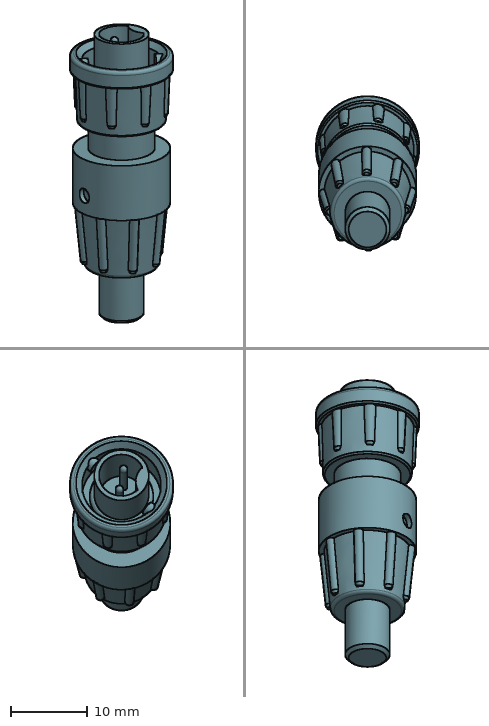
import cadquery as cq

TOTAL_HEIGHT = 39.65
COLLAR_TOP = 37.0
COLLAR_BOTTOM = 34.5
NUT_BOTTOM = 27.45
BARREL_TOP = 23.65
BARREL_BOTTOM = 15.95
GRIP_BOTTOM = 7.15

COLLAR_DIAMETER = 13.52
COLLAR_RADIUS = COLLAR_DIAMETER / 2
NUT_TOP_RADIUS = 6.05
NUT_BOTTOM_RADIUS = 5.83
NECK_RADIUS = 4.35
BARREL_RADIUS = 6.4
GRIP_TOP_RADIUS = 5.67
GRIP_BOTTOM_RADIUS = 4.85
CABLE_RADIUS = 2.95

COLLAR_FILLET = 0.48
NUT_CHAMFER = 0.25
GRIP_FILLET = 0.48
CABLE_CHAMFER = 0.48

SOCKET_RADIUS = 5.15
SOCKET_FLOOR = 32.28
SOCKET_LEAD_IN = 0.8

LUG_RADIUS = 0.95
LUG_TOP = 36.48
LUG_INNER_REACH = 4.5
LUG_ANGLES = (60, 240)

TUBE_RADIUS = 3.55
TUBE_BORE_RADIUS = 2.95
SHOULDER_RADIUS = 4.15
SHOULDER_STEP = 0.2
KEY_RADIUS = 2.75
KEY_REACH = 1.95
PIN_RADIUS = 0.5
PIN_SPACING = 2.9
PIN_TIP = 38.78

RIB_COUNT = 8
RIB_END_CHAMFER_LENGTH = 0.45
RIB_END_CHAMFER_DEPTH = 0.2
NUT_RIB_BOTTOM = 28.63
NUT_RIB_ANGLE = -7.5
NUT_RIB_TOP_CREST = 6.45
NUT_RIB_BOTTOM_CREST = 6.23
NUT_RIB_TOP_RADIUS = 0.9
NUT_RIB_BOTTOM_RADIUS = 0.65
GRIP_RIB_BOTTOM = 8.0
GRIP_RIB_ANGLE = 22.5
GRIP_RIB_TOP_RADIUS = 0.65
GRIP_RIB_BOTTOM_RADIUS = 0.6
GRIP_RIB_TOP_CREST = 6.35
GRIP_RIB_BOTTOM_CREST = 5.55

HOLE_RADIUS = 1.0
HOLE_HEIGHT = 18.5
HOLE_DEPTH = 0.8


def cylinder(radius, bottom, top):
    """Upright cylinder on the Z axis."""
    return cq.Workplane("XY").workplane(offset=bottom).circle(radius).extrude(top - bottom)


def cone(bottom_radius, top_radius, bottom, top):
    """Upright truncated cone on the Z axis."""
    solid = cq.Solid.makeCone(bottom_radius, top_radius, top - bottom, cq.Vector(0, 0, bottom))
    return cq.Workplane(solid)


def rib_ring(bottom, top, bottom_crest, top_crest, bottom_radius, top_radius, first_angle):
    """Ring of slanted round ribs; a crest is the distance of a rib's outer line from the Z axis."""
    start = cq.Vector(bottom_crest - bottom_radius, 0, bottom)
    axis = cq.Vector(top_crest - top_radius, 0, top) - start
    rib = cq.Workplane(cq.Solid.makeCone(bottom_radius, top_radius, axis.Length, start, axis))
    rib = rib.faces("<Z").chamfer(RIB_END_CHAMFER_LENGTH, RIB_END_CHAMFER_DEPTH)
    ribs = cq.Workplane()
    for index in range(RIB_COUNT):
        angle = first_angle - 90 + index * 360 / RIB_COUNT
        ribs = ribs.add(rib.rotate((0, 0, 0), (0, 0, 1), angle))
    return ribs.combine()


def coupling_nut():
    """Ribbed nut under a rounded collar, with the open socket and its two lugs."""
    collar = cylinder(COLLAR_RADIUS, COLLAR_BOTTOM, COLLAR_TOP)
    collar = collar.faces(">Z").edges().fillet(COLLAR_FILLET)
    collar = collar.faces("<Z").edges().chamfer(NUT_CHAMFER)
    skirt = cone(NUT_BOTTOM_RADIUS, NUT_TOP_RADIUS, NUT_BOTTOM, COLLAR_BOTTOM)
    skirt = skirt.faces("<Z").edges().chamfer(NUT_CHAMFER)
    ribs = rib_ring(
        NUT_RIB_BOTTOM, COLLAR_BOTTOM, NUT_RIB_BOTTOM_CREST, NUT_RIB_TOP_CREST,
        NUT_RIB_BOTTOM_RADIUS, NUT_RIB_TOP_RADIUS, NUT_RIB_ANGLE,
    )
    socket = cylinder(SOCKET_RADIUS, SOCKET_FLOOR, COLLAR_TOP)
    lead_in = cone(SOCKET_RADIUS, SOCKET_RADIUS + SOCKET_LEAD_IN, COLLAR_TOP - SOCKET_LEAD_IN, COLLAR_TOP)
    nut = collar.union(skirt).union(ribs).cut(socket).cut(lead_in)

    lug_length = (SOCKET_RADIUS + COLLAR_RADIUS) / 2 - LUG_INNER_REACH
    lug = (
        cq.Workplane("YZ", origin=(LUG_INNER_REACH, 0, LUG_TOP - LUG_RADIUS))
        .circle(LUG_RADIUS)
        .extrude(lug_length)
    )
    for angle in LUG_ANGLES:
        nut = nut.union(lug.rotate((0, 0, 0), (0, 0, 1), angle))
    return nut


def plug_tube():
    """Keyed tube rising from a rounded shoulder on the socket floor, with two round-tipped pins inside."""
    tube = cylinder(TUBE_RADIUS, SOCKET_FLOOR, TOTAL_HEIGHT)
    shoulder_round = SHOULDER_RADIUS - TUBE_RADIUS
    shoulder = cylinder(SHOULDER_RADIUS, SOCKET_FLOOR, SOCKET_FLOOR + shoulder_round + SHOULDER_STEP)
    shoulder = shoulder.faces(">Z").edges().fillet(shoulder_round)
    key = cylinder(KEY_RADIUS, SOCKET_FLOOR, TOTAL_HEIGHT).translate((0, KEY_REACH + KEY_RADIUS, 0))
    bore = cylinder(TUBE_BORE_RADIUS, SOCKET_FLOOR, TOTAL_HEIGHT).cut(key)
    plug = tube.union(shoulder).cut(bore)

    dome_center = PIN_TIP - PIN_RADIUS
    shank = cylinder(PIN_RADIUS, SOCKET_FLOOR, dome_center)
    pin = shank.union(cq.Workplane().sphere(PIN_RADIUS).translate((0, 0, dome_center)))
    for side in (-1, 1):
        plug = plug.union(pin.translate((side * PIN_SPACING / 2, 0, 0)))
    return plug


def barrel():
    """Plain barrel with a shallow blind hole on its -Y side."""
    body = cylinder(BARREL_RADIUS, BARREL_BOTTOM, BARREL_TOP)
    hole = (
        cq.Workplane("XZ", origin=(0, HOLE_DEPTH - BARREL_RADIUS, HOLE_HEIGHT))
        .circle(HOLE_RADIUS)
        .extrude(BARREL_RADIUS)
    )
    return body.cut(hole)


def cable_grip():
    """Tapered ribbed grip under the barrel."""
    body = cone(GRIP_BOTTOM_RADIUS, GRIP_TOP_RADIUS, GRIP_BOTTOM, BARREL_BOTTOM)
    body = body.faces("<Z").edges().fillet(GRIP_FILLET)
    ribs = rib_ring(
        GRIP_RIB_BOTTOM, BARREL_BOTTOM, GRIP_RIB_BOTTOM_CREST, GRIP_RIB_TOP_CREST,
        GRIP_RIB_BOTTOM_RADIUS, GRIP_RIB_TOP_RADIUS, GRIP_RIB_ANGLE,
    )
    return body.union(ribs)


neck = cylinder(NECK_RADIUS, BARREL_TOP, SOCKET_FLOOR)
cable = cylinder(CABLE_RADIUS, 0, GRIP_BOTTOM).faces("<Z").edges().chamfer(CABLE_CHAMFER)

result = coupling_nut().union(neck).union(plug_tube()).union(barrel()).union(cable_grip()).union(cable)